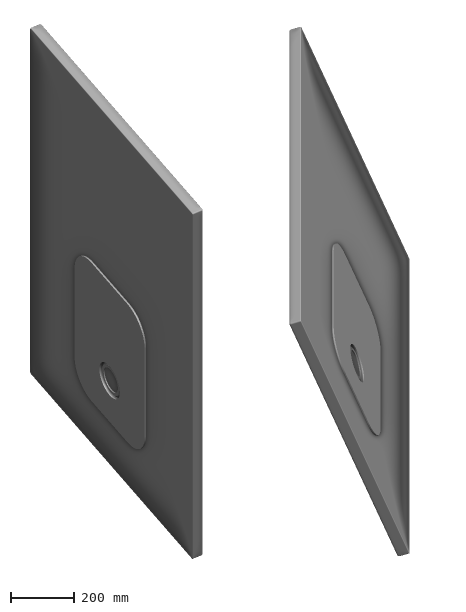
import cadquery as cq


panel_width = 1000.0
panel_height = 1500.0
panel_depth = 40.0
panel_corner_radius = 5.0
front_rim_radius = 2.5
back_rim_radius = 6.0

plate_width = 430.0
plate_height = 600.0
plate_corner_radius = 105.0
plate_proud = 6.0
plate_inset = 3.0
plate_center_z = -254.0
plate_front_y = -plate_proud

knob_center_z = -375.0
well_radius = 63.0
well_floor_y = 6.0
knob_rim_radius = 54.0
knob_rim_y = -2.0
knob_dish_radius = 44.0
knob_dish_y = 2.2


def rounded_slab(width, height, depth, radius, front_y, center_z):
    """Upright slab with rounded corners, reaching from front_y toward +Y."""
    return (
        cq.Workplane("XZ", origin=(0, front_y, center_z))
        .rect(width, height)
        .extrude(-depth)
        .edges("|Y")
        .fillet(radius)
    )


def make_plate_blank():
    """Cover plate before the well is cut; also the shape of its recess."""
    return rounded_slab(
        plate_width,
        plate_height,
        plate_proud + plate_inset,
        plate_corner_radius,
        plate_front_y,
        plate_center_z,
    )


def make_well():
    """Round space that holds the knob."""
    well_depth = well_floor_y - plate_front_y
    return (
        cq.Workplane("XZ", origin=(0, plate_front_y, knob_center_z))
        .circle(well_radius)
        .extrude(-well_depth)
    )


def make_panel():
    blank = rounded_slab(panel_width, panel_height, panel_depth, panel_corner_radius, 0, 0)
    rounded = blank.faces("<Y").edges().fillet(front_rim_radius)
    rounded = rounded.faces(">Y").edges().fillet(back_rim_radius)
    return rounded.cut(make_plate_blank()).cut(make_well())


def make_plate():
    return make_plate_blank().cut(make_well())


def make_knob():
    """Low turned knob: sloping flank, flat rim and a shallow dish in the middle."""
    half_profile = [
        (0, well_floor_y),
        (well_radius, well_floor_y),
        (knob_rim_radius, knob_rim_y),
        (knob_dish_radius, knob_rim_y),
        (knob_dish_radius, knob_dish_y),
        (0, knob_dish_y),
    ]
    return (
        cq.Workplane("XY", origin=(0, 0, knob_center_z))
        .polyline(half_profile)
        .close()
        .revolve(360, (0, 0, 0), (0, 1, 0))
    )


panel = make_panel()
plate = make_plate()
knob = make_knob()

result = cq.Compound.makeCompound([panel.val(), plate.val(), knob.val()])